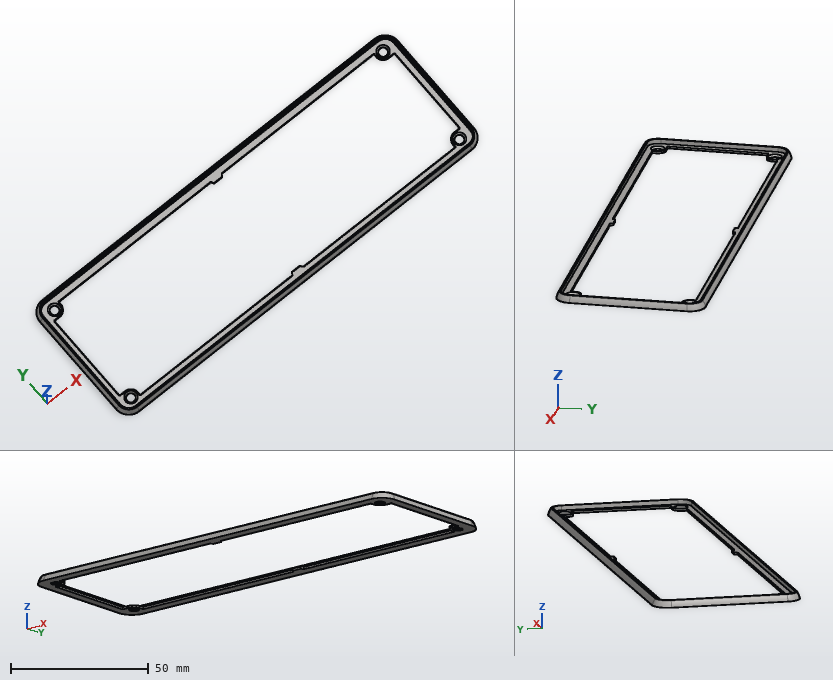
import cadquery as cq
import math

LENGTH = 169.24
WIDTH = 55.37
HEIGHT = 2.6
CORNER_RADIUS = 5.9

WALL_INSET = 1.05
WALL_BULGE = 0.15
RIM_BEVEL = 0.15
RIM_WIDTH = 0.75

FLANGE_THICKNESS = 0.85
FLANGE_REACH = 5.0

END_BORDER = 4.1
SIDE_BORDER = 4.4

SCREW_FROM_END = 6.9
SCREW_FROM_SIDE = 5.9
BOSS_RADIUS = 3.1
HOLE_DIAMETER = 3.5
COUNTERSINK_DIAMETER = 5.0

TAB_ROOT_LENGTH = 5.1
TAB_TIP_LENGTH = 3.8
TAB_DEPTH = 1.1

OPENING_LENGTH = LENGTH - 2 * END_BORDER
OPENING_WIDTH = WIDTH - 2 * SIDE_BORDER
SCREW_X = LENGTH / 2 - SCREW_FROM_END
SCREW_Y = WIDTH / 2 - SCREW_FROM_SIDE
MIRROR_SIGNS = [(1, 1), (-1, 1), (-1, -1), (1, -1)]


def rim_section():
    """Section of one side at X = 0: bulged outer wall, raised rim and flange."""
    outer_y = -WIDTH / 2
    rim_outer_y = outer_y + WALL_INSET
    rim_inner_y = rim_outer_y + RIM_WIDTH
    flange_y = outer_y + FLANGE_REACH
    return (
        cq.Workplane("YZ")
        .moveTo(outer_y, 0)
        .sagittaArc((rim_outer_y, HEIGHT - RIM_BEVEL), WALL_BULGE)
        .lineTo(rim_outer_y + RIM_BEVEL, HEIGHT)
        .lineTo(rim_inner_y, HEIGHT)
        .lineTo(rim_inner_y, FLANGE_THICKNESS)
        .lineTo(flange_y, FLANGE_THICKNESS)
        .lineTo(flange_y, 0)
        .close()
    )


def frame():
    """Rim section carried around the rounded rectangle of the outer bottom edge."""
    half_length = LENGTH / 2
    half_width = WIDTH / 2
    straight_x = half_length - CORNER_RADIUS
    straight_y = half_width - CORNER_RADIUS
    path = (
        cq.Workplane("XY")
        .moveTo(0, -half_width)
        .lineTo(straight_x, -half_width)
        .tangentArcPoint((half_length, -straight_y), relative=False)
        .lineTo(half_length, straight_y)
        .tangentArcPoint((straight_x, half_width), relative=False)
        .lineTo(-straight_x, half_width)
        .tangentArcPoint((-half_length, straight_y), relative=False)
        .lineTo(-half_length, -straight_y)
        .tangentArcPoint((-straight_x, -half_width), relative=False)
        .close()
    )
    return rim_section().sweep(path)


def opening():
    """Rectangular through opening."""
    return cq.Workplane("XY").rect(OPENING_LENGTH, OPENING_WIDTH).extrude(HEIGHT)


def corner_boss(sign_x, sign_y):
    """Flange pad that fills an opening corner and rounds off about the screw axis."""
    wall_x = OPENING_LENGTH / 2
    wall_y = OPENING_WIDTH / 2
    arc_reach = BOSS_RADIUS * math.sqrt(0.5)

    def placed(x, y):
        return (sign_x * x, sign_y * y)

    return (
        cq.Workplane("XY")
        .moveTo(*placed(wall_x, wall_y))
        .lineTo(*placed(SCREW_X - BOSS_RADIUS, wall_y))
        .lineTo(*placed(SCREW_X - BOSS_RADIUS, SCREW_Y))
        .threePointArc(
            placed(SCREW_X - arc_reach, SCREW_Y - arc_reach),
            placed(SCREW_X, SCREW_Y - BOSS_RADIUS),
        )
        .lineTo(*placed(wall_x, SCREW_Y - BOSS_RADIUS))
        .close()
        .extrude(FLANGE_THICKNESS)
    )


def screw_hole(sign_x, sign_y):
    """Conical hole through the flange, widest at the flange top."""
    return (
        cq.Workplane("XY")
        .center(sign_x * SCREW_X, sign_y * SCREW_Y)
        .circle(HOLE_DIAMETER / 2)
        .workplane(offset=FLANGE_THICKNESS)
        .circle(COUNTERSINK_DIAMETER / 2)
        .loft()
    )


def side_tab(sign_y):
    """Trapezoidal tab pointing into the opening from one long side."""
    root_y = sign_y * OPENING_WIDTH / 2
    tip_y = root_y - sign_y * TAB_DEPTH
    return (
        cq.Workplane("XY")
        .moveTo(-TAB_ROOT_LENGTH / 2, root_y)
        .lineTo(-TAB_TIP_LENGTH / 2, tip_y)
        .lineTo(TAB_TIP_LENGTH / 2, tip_y)
        .lineTo(TAB_ROOT_LENGTH / 2, root_y)
        .close()
        .extrude(FLANGE_THICKNESS)
    )


result = frame().cut(opening())
for signs in MIRROR_SIGNS:
    result = result.union(corner_boss(*signs)).cut(screw_hole(*signs))
for side in (1, -1):
    result = result.union(side_tab(side))